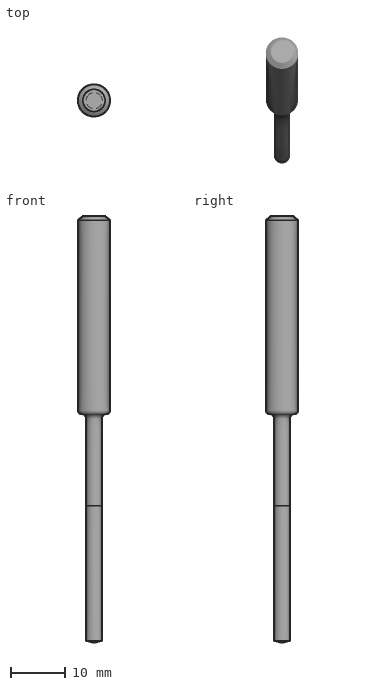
import cadquery as cq

total_length = 79.0
shank_diameter = 6.0
tool_diameter = 3.0

tip_height = 0.4
joint_z = 25.35
neck_top_z = 41.55

chamfer_height = 0.8
top_face_diameter = 4.1

shank_radius = shank_diameter / 2
tool_radius = tool_diameter / 2
top_face_radius = top_face_diameter / 2

blend_radius = (shank_radius - tool_radius) / 2
blend_mid_radius = tool_radius + blend_radius
blend_mid_z = neck_top_z + blend_radius
shank_bottom_z = blend_mid_z + blend_radius


def revolve_about_z(profile):
    """Revolve a closed radius-height profile fully about the Z axis."""
    return profile.close().revolve(360, (0, 0, 0), (0, 1, 0))


def make_holder():
    """Chamfered shank with a thin neck below it, joined by an S-shaped blend."""
    profile = (
        cq.Workplane("XZ")
        .moveTo(0, joint_z)
        .lineTo(tool_radius, joint_z)
        .lineTo(tool_radius, neck_top_z)
        .radiusArc((blend_mid_radius, blend_mid_z), blend_radius)
        .radiusArc((shank_radius, shank_bottom_z), -blend_radius)
        .lineTo(shank_radius, total_length - chamfer_height)
        .lineTo(top_face_radius, total_length)
        .lineTo(0, total_length)
    )
    return revolve_about_z(profile)


def make_cutter():
    """Plain round cutter with a shallow conical point, butted against the neck."""
    profile = (
        cq.Workplane("XZ")
        .moveTo(0, 0)
        .lineTo(tool_radius, tip_height)
        .lineTo(tool_radius, joint_z)
        .lineTo(0, joint_z)
    )
    return revolve_about_z(profile)


holder = make_holder()
cutter = make_cutter()

result = cq.Compound.makeCompound([holder.val(), cutter.val()])